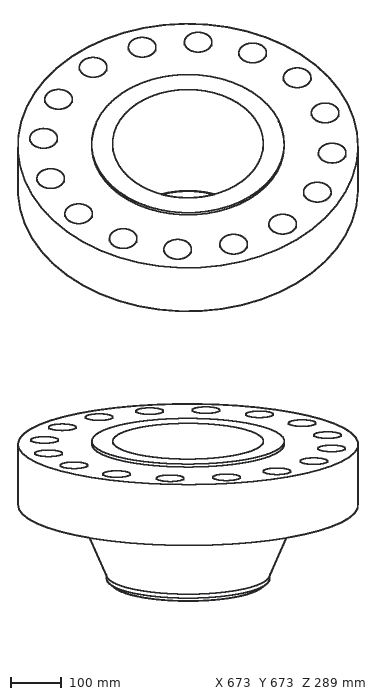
import cadquery as cq

flange_diameter = 673.0
flange_thickness = 124.0
total_height = 289.0

face_diameter = 381.0
face_height = 6.0

bore_diameter = 298.0

bolt_count = 16
bolt_circle_diameter = 572.0
bolt_hole_diameter = 54.5

hub_base_diameter = 445.5
hub_fillet = 13.0
weld_end_diameter = 323.0
weld_end_height = 17.0
bevel_height = 9.0
bevel_width = 11.0

selection_margin = 1.0

face_top = total_height
flange_top = face_top - face_height
flange_bottom = flange_top - flange_thickness

bore_radius = bore_diameter / 2
weld_end_radius = weld_end_diameter / 2


def make_body():
    """Revolve the half section, sharp-cornered at the hub base, about Z."""
    section = (
        cq.Workplane("XZ")
        .moveTo(bore_radius, 0)
        .lineTo(weld_end_radius - bevel_width, 0)
        .lineTo(weld_end_radius, bevel_height)
        .lineTo(weld_end_radius, weld_end_height)
        .lineTo(hub_base_diameter / 2, flange_bottom)
        .lineTo(flange_diameter / 2, flange_bottom)
        .lineTo(flange_diameter / 2, flange_top)
        .lineTo(face_diameter / 2, flange_top)
        .lineTo(face_diameter / 2, face_top)
        .lineTo(bore_radius, face_top)
        .close()
    )
    return section.revolve(360, (0, 0, 0), (0, 1, 0))


def round_hub_base(body):
    """Fillet the inside corner where the hub meets the flange."""
    reach = hub_base_diameter / 2 + selection_margin
    hub_base_edge = cq.selectors.BoxSelector(
        (-reach, -reach, flange_bottom - selection_margin),
        (reach, reach, flange_bottom + selection_margin),
        boundingbox=True,
    )
    return body.edges(hub_base_edge).fillet(hub_fillet)


def drill_bolt_holes(body):
    """Cut the bolt holes through the flange, the first on the +X axis."""
    holes = (
        cq.Workplane("XY", origin=(0, 0, flange_bottom))
        .polarArray(bolt_circle_diameter / 2, 0, 360, bolt_count)
        .circle(bolt_hole_diameter / 2)
        .extrude(flange_thickness)
    )
    return body.cut(holes)


result = drill_bolt_holes(round_hub_base(make_body()))